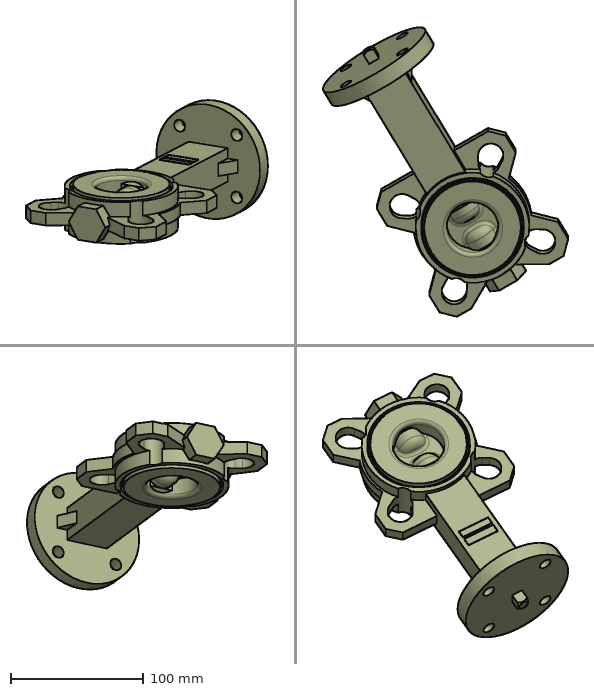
import cadquery as cq
import math


body_radius = 43.0
body_width = 33.0
seat_radius = 36.5
seat_width = 36.0
ledge_radius = 37.8
groove_outer_radius = 39.0
ledge_depth = 3.0
groove_depth = 3.5
bore_radius = 19.5
bore_lip_radius = 3.0

plate_thickness = 10.0
plate_half_side = 56.5
plate_disc_radius = 45.0
corner_cut = 9.6
lug_waist = 25.1
lower_flank_start = 34.1
lower_flank_angle = 30.0

outer_bolt_circle = 110.0
outer_bolt_radius = 9.5
inner_bolt_circle = 98.5
inner_bolt_radius = 8.2

neck_width = 34.0
neck_depth = 26.5
gusset_reach = 8.75
gusset_length = 15.0
label_width = 25.6
label_height = 0.5
label_spans = ((82.2, 88.1), (89.9, 96.6))

stem_end = 157.0
stem_length = 9.75
stem_side = 8.7
stem_tip_radius = 3.8
stem_tip_length = 2.0
flange_radius = 45.0
flange_thickness = 12.5
flange_bolt_circle = 70.0
flange_hole_radius = 4.65
flange_top = stem_end - stem_length
flange_bottom = flange_top - flange_thickness

plug_half_width = 15.9
plug_end = -53.3

disc_thickness = 5.5
hub_radius = 12.1
hub_nose = 3.9
hub_edge_radius = 7.0
hub_blend_radius = 3.0
upper_flat_distance = 17.0
lower_flat_distance = 18.7


def cylinder(radius, height):
    """Cylinder on the bore axis, centred on the XY plane."""
    return cq.Workplane("XY").circle(radius).extrude(height / 2, both=True)


def make_lug_plate():
    half = plate_half_side
    inset = half - corner_cut
    flank = half - lug_waist
    lower_rise = lower_flank_start * math.tan(math.radians(lower_flank_angle))
    right_side = [
        (0, half),
        (inset, half),
        (half, inset),
        (half, flank),
        (lug_waist, 0),
        (half, -flank),
        (half, -inset),
        (inset, -half),
        (lower_flank_start, -half),
        (0, -half + lower_rise),
    ]
    left_side = [(-x, y) for x, y in reversed(right_side[1:-1])]
    plate = cq.Workplane("XY").polyline(right_side + left_side).close()
    plate = plate.extrude(plate_thickness / 2, both=True)
    return plate.union(cylinder(plate_disc_radius, plate_thickness))


def make_body():
    """Ring with a raised seat, a sunken ledge and a groove on each face, revolved about Z."""
    face = body_width / 2
    ledge = face - ledge_depth
    groove_floor = face - groove_depth
    upper_outline = [
        (body_radius, face),
        (groove_outer_radius, face),
        (groove_outer_radius, groove_floor),
        (ledge_radius, groove_floor),
        (ledge_radius, ledge),
        (seat_radius, ledge),
        (seat_radius, seat_width / 2),
        (0, seat_width / 2),
    ]
    lower_outline = [(radius, -z) for radius, z in reversed(upper_outline)]
    outline = cq.Workplane("XZ").polyline(upper_outline + lower_outline).close()
    return outline.revolve(360, (0, 0), (0, 1))


def make_lug_slot():
    """Tapered slot along +X: a large and a small circle joined by their common tangents."""
    outer_x = outer_bolt_circle / 2
    inner_x = inner_bolt_circle / 2
    lean = math.asin((outer_bolt_radius - inner_bolt_radius) / (outer_x - inner_x))

    def tangent_point(center_x, radius, side):
        return (center_x - radius * math.sin(lean), side * radius * math.cos(lean))

    slot = (
        cq.Workplane("XY")
        .moveTo(*tangent_point(inner_x, inner_bolt_radius, -1))
        .lineTo(*tangent_point(outer_x, outer_bolt_radius, -1))
        .threePointArc(
            (outer_x + outer_bolt_radius, 0), tangent_point(outer_x, outer_bolt_radius, 1)
        )
        .lineTo(*tangent_point(inner_x, inner_bolt_radius, 1))
        .threePointArc(
            (inner_x - inner_bolt_radius, 0), tangent_point(inner_x, inner_bolt_radius, -1)
        )
        .close()
    )
    return slot.extrude(seat_width / 2, both=True)


def make_neck():
    neck = cq.Workplane("XY").box(
        neck_width, flange_bottom, neck_depth, centered=(True, False, True)
    )
    half = neck_width / 2
    gusset_outline = [
        (-half - gusset_reach, flange_bottom),
        (half + gusset_reach, flange_bottom),
        (half, flange_bottom - gusset_length),
        (-half, flange_bottom - gusset_length),
    ]
    gussets = cq.Workplane("XY").polyline(gusset_outline).close()
    neck = neck.union(gussets.extrude(plate_thickness / 2, both=True))
    for low, high in label_spans:
        label = cq.Workplane("XY").box(
            label_width, high - low, label_height, centered=(True, False, False)
        )
        neck = neck.union(label.translate((0, low, neck_depth / 2)))
    return neck


def make_flange():
    face = cq.Workplane("XZ", origin=(0, flange_top, 0))
    hole_offset = flange_bolt_circle / 2 / math.sqrt(2)
    flange = face.circle(flange_radius).extrude(flange_thickness)
    holes = face.rect(2 * hole_offset, 2 * hole_offset, forConstruction=True).vertices()
    return flange.cut(holes.circle(flange_hole_radius).extrude(flange_thickness))


def make_stem():
    """Square stem whose corners are turned down to a cone at the tip."""
    square = cq.Workplane("XZ", origin=(0, stem_end, 0)).rect(stem_side, stem_side).extrude(stem_length)
    corner_radius = stem_side / math.sqrt(2)
    turned_outline = [
        (0, flange_top),
        (corner_radius, flange_top),
        (corner_radius, stem_end - stem_tip_length),
        (stem_tip_radius, stem_end),
        (0, stem_end),
    ]
    turned = cq.Workplane("XY").polyline(turned_outline).close().revolve(360, (0, 0), (0, 1))
    return square.intersect(turned)


def make_plug():
    half_depth = neck_depth / 2
    outline = [
        (plug_half_width, 0),
        (plug_half_width / 2, half_depth),
        (-plug_half_width / 2, half_depth),
        (-plug_half_width, 0),
        (-plug_half_width / 2, -half_depth),
        (plug_half_width / 2, -half_depth),
    ]
    return cq.Workplane("XZ").polyline(outline).close().extrude(-plug_end)


def make_bore():
    """Bore with rounded lips at both seat faces, revolved about Z."""
    half = seat_width / 2
    lip = bore_lip_radius
    bend = lip * (1 - math.sqrt(0.5))
    profile = (
        cq.Workplane("XZ")
        .moveTo(0, -half)
        .lineTo(bore_radius + lip, -half)
        .threePointArc((bore_radius + bend, -half + bend), (bore_radius, -half + lip))
        .lineTo(bore_radius, half - lip)
        .threePointArc((bore_radius + bend, half - bend), (bore_radius + lip, half))
        .lineTo(0, half)
        .close()
    )
    return profile.revolve(360, (0, 0), (0, 1))


def make_half_disc():
    """The +Y half of the disc with its shaft hub, reaching past the bore wall."""
    reach = bore_radius + bore_lip_radius
    half_thickness = disc_thickness / 2
    plate = cq.Workplane("XY").box(2 * reach, reach, disc_thickness, centered=(True, False, True))
    hub = cq.Workplane("XZ", origin=(0, reach, 0)).circle(hub_radius).extrude(reach - hub_nose)
    hub = hub.faces("<Y").edges().fillet(hub_edge_radius)
    margin = 0.1
    joint = cq.selectors.BoxSelector(
        (-hub_radius - margin, margin, -half_thickness - margin),
        (hub_radius + margin, reach - margin, half_thickness + margin),
    )
    return plate.union(hub).edges(joint).fillet(hub_blend_radius)


def make_flat(distance):
    """Filling between the bore wall and a flat on the +Y side, bevelled at both ends."""
    bevel = bore_radius + bore_lip_radius - distance
    outer = distance + bevel
    section = [
        (distance, -hub_radius),
        (distance, hub_radius),
        (outer, hub_radius + bevel),
        (outer, -hub_radius - bevel),
    ]
    return cq.Workplane("YZ").polyline(section).close().extrude(bore_radius, both=True)


def make_disc():
    upper_half = make_half_disc()
    disc = upper_half.union(upper_half.mirror("XZ"))
    disc = disc.union(make_flat(upper_flat_distance))
    disc = disc.union(make_flat(lower_flat_distance).mirror("XZ"))
    return disc.intersect(cylinder(bore_radius + bore_lip_radius, seat_width))


housing = make_lug_plate().union(make_body()).union(make_neck()).union(make_plug())
lug_slot = make_lug_slot()
for lug_angle in (45, 135, 225, 315):
    housing = housing.cut(lug_slot.rotate((0, 0, 0), (0, 0, 1), lug_angle))
housing = housing.cut(make_bore())

result = housing.union(make_flange()).union(make_stem()).union(make_disc())